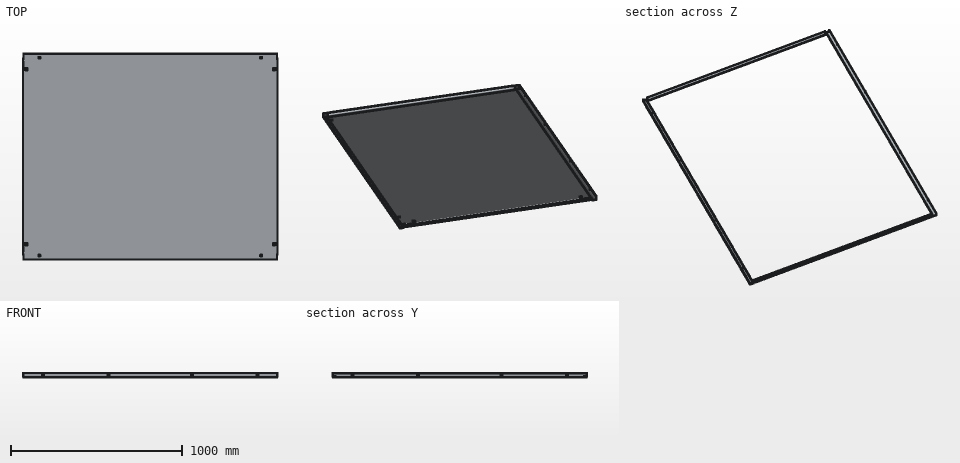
import cadquery as cq

length = 1485.0
width = 1200.0
height = 27.0
sheet = 3.0
bend_radius = 3.3

long_lip = 22.0
long_flange_inset = 3.7
long_flange_length = length - 2 * long_flange_inset

side_height = 22.0
side_lip = 20.0
lip_clearance = 6.7
side_flange_length = width - 2 * (long_lip + lip_clearance)

plate_hole_diameter = 9.0
plate_hole_x = 646.0
plate_hole_y = 576.0
plate_slot_length = 15.0
plate_slot_width = 12.0
plate_slot_x = 725.0
plate_slot_y = 510.0

flange_hole_diameter = 9.0
flange_hole_distances = (242.0, 624.0)

side_slot_length = 22.0
side_slot_height = 12.0
side_slot_y = 539.0

plate_cut_depth = 2 * sheet
top_z = height / 2


def channel(span, depth, lip, run):
    """Plate strip running along Y, with both sides folded down and then inward."""

    def rounded_bar(inset):
        bar = cq.Workplane("XY").box(span - 2 * inset, run, depth - 2 * inset)
        return bar.edges("|Y").fillet(bend_radius - inset)

    mouth = cq.Workplane("XY").box(span - 2 * lip, run, depth).translate((0, 0, -sheet))
    tube = rounded_bar(0).cut(rounded_bar(sheet))
    return tube.cut(mouth).translate((0, 0, top_z - depth / 2))


def mirrored_places(x, y):
    """The four places at plus and minus x and y."""
    return [(x_sign * x, y_sign * y) for x_sign in (-1, 1) for y_sign in (-1, 1)]


side_channel = channel(length, side_height, side_lip, side_flange_length)
long_channel = channel(width, height, long_lip, long_flange_length)
long_channel = long_channel.rotate((0, 0, 0), (0, 0, 1), 90)
panel = long_channel.union(side_channel)

plate_top = cq.Workplane("XY", origin=(0, 0, top_z))
plate_holes = plate_top.pushPoints(mirrored_places(plate_hole_x, plate_hole_y))
panel = panel.cut(plate_holes.circle(plate_hole_diameter / 2).extrude(-plate_cut_depth))
plate_slots = plate_top.pushPoints(mirrored_places(plate_slot_x, plate_slot_y))
panel = panel.cut(plate_slots.rect(plate_slot_length, plate_slot_width).extrude(-plate_cut_depth))

for distance in flange_hole_distances:
    flange_holes = cq.Workplane("XZ").pushPoints([(-distance, 0), (distance, 0)])
    panel = panel.cut(flange_holes.circle(flange_hole_diameter / 2).extrude(width, both=True))

slot_z = top_z - side_height / 2
side_slots = cq.Workplane("YZ").pushPoints([(-side_slot_y, slot_z), (side_slot_y, slot_z)])
panel = panel.cut(side_slots.rect(side_slot_length, side_slot_height).extrude(-length))

result = panel